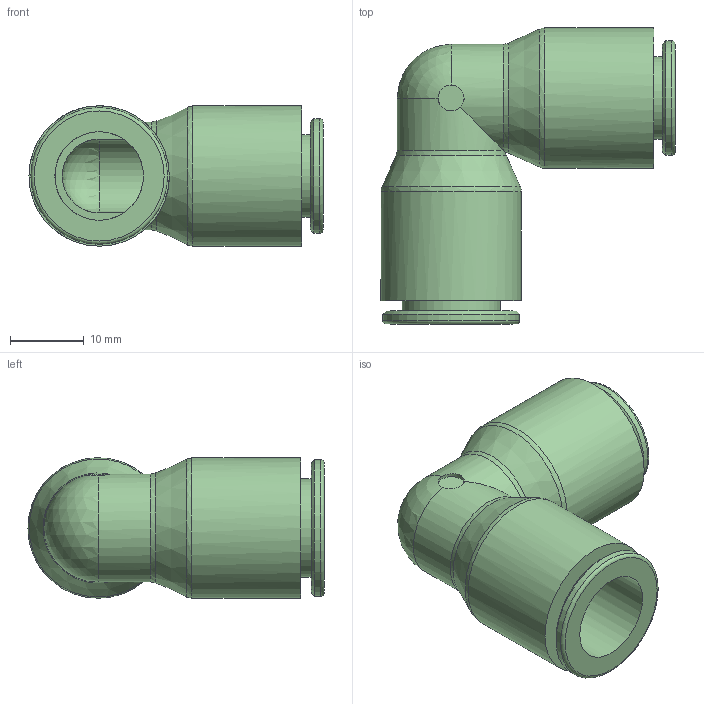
import cadquery as cq


neck_radius = 7.3
collar_radius = 9.5
cone_start = 7.45
cone_end = 12.3
blend_radius = 1.7
collar_end = 27.4

ring_back_chamfer = 0.45
ring_front_fillet = 0.45

x_ring_start = 28.6
x_ring_end = 30.3
x_ring_radius = 7.75
x_sleeve_radius = 5.6
x_bore_radius = 5.0

y_ring_start = 28.82
y_ring_end = 30.57
y_ring_radius = 9.25
y_sleeve_radius = 6.65
y_bore_radius = 6.0

badge_radius = 1.75
badge_depth = 0.6

selection_margin = 1.0

x_to_minus_y = -90


def cylinder_x(radius, start, end):
    """Cylinder on the X axis between two distances from the corner."""
    return cq.Workplane("YZ").workplane(offset=start).circle(radius).extrude(end - start)


def turn_to_minus_y(shape):
    """Turn a shape built on the +X arm onto the -Y arm."""
    return shape.rotate((0, 0, 0), (0, 0, 1), x_to_minus_y)


def body_arm():
    """Neck, blended cone and collar, revolved about the X axis."""
    arm = (
        cq.Workplane("XY")
        .moveTo(0, 0)
        .lineTo(0, neck_radius)
        .lineTo(cone_start, neck_radius)
        .lineTo(cone_end, collar_radius)
        .lineTo(collar_end, collar_radius)
        .lineTo(collar_end, 0)
        .close()
        .revolve(360, (0, 0, 0), (1, 0, 0))
    )
    cone_ends = cq.selectors.BoxSelector(
        (cone_start - selection_margin, -collar_radius, -collar_radius),
        (cone_end + selection_margin, collar_radius, collar_radius),
    )
    return arm.edges("%CIRCLE").edges(cone_ends).fillet(blend_radius)


def release_ring(sleeve_radius, ring_radius, ring_start, ring_end):
    """Sleeve standing out of the collar and the flange at its outer end."""
    sleeve = cylinder_x(sleeve_radius, collar_end, ring_start)
    flange = cylinder_x(ring_radius, ring_start, ring_end)
    flange = flange.faces("<X").edges().chamfer(ring_back_chamfer)
    flange = flange.faces(">X").edges().fillet(ring_front_fillet)
    return sleeve.union(flange)


def outer_shape():
    """Both solid arms with their rings, joined by the rounded corner."""
    arm = body_arm()
    corner = cq.Workplane("XY").sphere(neck_radius)
    x_ring = release_ring(x_sleeve_radius, x_ring_radius, x_ring_start, x_ring_end)
    y_ring = release_ring(y_sleeve_radius, y_ring_radius, y_ring_start, y_ring_end)
    shape = corner.union(arm).union(turn_to_minus_y(arm))
    return shape.union(x_ring).union(turn_to_minus_y(y_ring))


def passage():
    """Bores of both arms, meeting in a round-ended corner."""
    corner = cq.Workplane("XY").sphere(x_bore_radius)
    x_bore = cylinder_x(x_bore_radius, 0, x_ring_end)
    y_bore = turn_to_minus_y(cylinder_x(y_bore_radius, 0, y_ring_end))
    return corner.union(x_bore).union(y_bore)


def badge_recess():
    """Flat-bottomed disc, sunk below the top of the corner."""
    floor = neck_radius - badge_depth
    return cq.Workplane("XY").workplane(offset=floor).circle(badge_radius).extrude(badge_depth)


result = outer_shape().cut(passage()).cut(badge_recess())